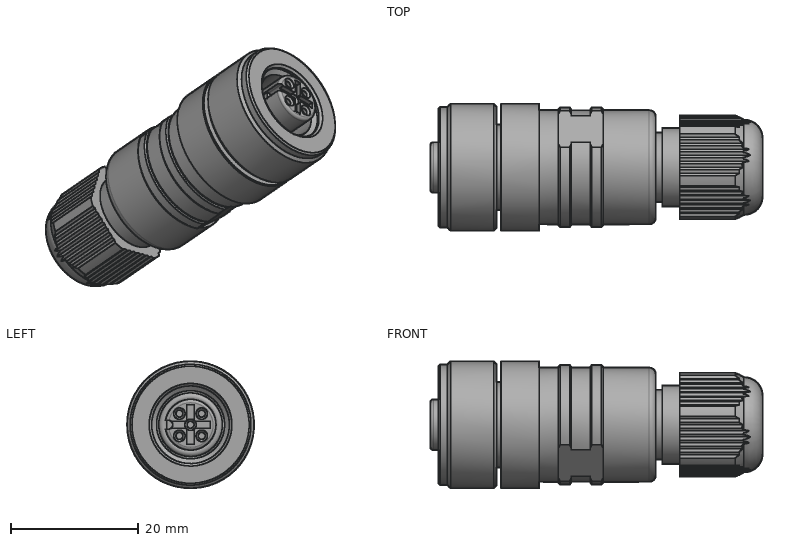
import cadquery as cq
import math


INSERT_R = 4.0
INSERT_EDGE_R = 0.5
RECESS_FLOOR_X = 8.5

COLLAR_X = 1.3
COLLAR_LIP_R = 9.5
COLLAR_LIP_CHAMFER = 0.3
COLLAR_STEP_X = 2.7
COLLAR_R = 10.0
COLLAR_FRONT_CHAMFER = COLLAR_R - COLLAR_LIP_R
COLLAR_END_X = 10.45
COLLAR_REAR_CHAMFER = 0.5

BORE_MOUTH_R = 6.5
BORE_R = 12.2 / 2
BORE_CHAMFER = BORE_MOUTH_R - BORE_R
BORE_STRAIGHT = 0.4
BORE_CONE_LENGTH = 0.6
BORE_THROAT_R = 5.35

SEAL_SECTION_R = 0.65
SEAL_CENTRE_R = 4.35
SEAL_X = 8.0

GROOVE_R = 13.5 / 2
GRIP_X = 11.05
GRIP_R = 10.0
GRIP_CHAMFER = 0.15
GRIP_END_X = 17.1

BODY_R = 9.0
BODY_END_X = 35.45
BODY_END_FILLET = 1.1
BAND_R = 9.4
BAND_WIDTH = 2.0
BAND_CHAMFER = 0.25
BAND_STARTS = (20.15, 25.15)
FLAT_DISTANCE = 8.5
FLAT_TILT = 45.0

NECK_R = 5.5
GLAND_X = 36.45
GLAND_R = 12.4 / 2

NUT_X = 39.2
NUT_END_X = 52.25
NUT_CORNER_R = 8.28
NUT_FLAT_DISTANCE = 7.55
NUT_CORNER_TILT = 15.0
NUT_CLEARANCE = 1.0
NUT_CONE_X = 47.9
NUT_DOME_R = 7.5
NUT_DOME_FILLET = 3.0
SIDES = 6
TEETH_PER_FLAT = 7
TOOTH_DEPTH = 0.22

CONTACT_OFFSET = 1.75
CONTACT_R = 1.1 / 2
CONTACT_DEPTH = 1.0
FUNNEL_R = 0.9
FUNNEL_DEPTH = 0.35
CROSS_WIDTH = 1.12
CROSS_REACH = 3.1
CROSS_DEPTH = 0.8
KEY_WIDTH = 1.4
KEY_INNER_Y = 2.8
KEY_OUTER_Y = 3.72
KEY_DEPTH = 3.0


def cylinder(start, end, radius):
    """Cylinder on the part axis between two X positions."""
    return cq.Workplane("YZ", origin=(start, 0, 0)).circle(radius).extrude(end - start)


def revolved(profile):
    """Turn a closed profile of (X, radius) around the part axis."""
    return profile.close().revolve(360, (0, 0, 0), (1, 0, 0))


def make_insert():
    """Insert with its keyway notch, which runs back into the seal ring."""
    insert = cylinder(0, GRIP_X, INSERT_R).faces("<X").edges().fillet(INSERT_EDGE_R)
    notch_height = INSERT_R - KEY_OUTER_Y
    notch = cq.Workplane("XY").box(SEAL_X, notch_height, KEY_WIDTH, centered=(False, False, True))
    insert = insert.cut(notch.translate((0, KEY_OUTER_Y, 0)))
    seal = (
        cq.Workplane("XY")
        .center(SEAL_X, SEAL_CENTRE_R)
        .circle(SEAL_SECTION_R)
        .revolve(360, (-SEAL_X, -SEAL_CENTRE_R, 0), (1 - SEAL_X, -SEAL_CENTRE_R, 0))
    )
    return insert.union(seal)


def make_collar():
    lip = cylinder(COLLAR_X, COLLAR_STEP_X, COLLAR_LIP_R)
    lip = lip.faces("<X").edges().chamfer(COLLAR_LIP_CHAMFER)
    sleeve = cylinder(COLLAR_STEP_X, COLLAR_END_X, COLLAR_R)
    sleeve = sleeve.faces("<X").edges().chamfer(COLLAR_FRONT_CHAMFER)
    sleeve = sleeve.faces(">X").edges().chamfer(COLLAR_REAR_CHAMFER)
    straight_x = COLLAR_X + BORE_CHAMFER
    cone_x = straight_x + BORE_STRAIGHT
    throat_x = cone_x + BORE_CONE_LENGTH
    bore = revolved(
        cq.Workplane("XY")
        .moveTo(COLLAR_X, 0)
        .lineTo(COLLAR_X, BORE_MOUTH_R)
        .lineTo(straight_x, BORE_R)
        .lineTo(cone_x, BORE_R)
        .lineTo(throat_x, BORE_THROAT_R)
        .lineTo(RECESS_FLOOR_X, BORE_THROAT_R)
        .lineTo(RECESS_FLOOR_X, 0)
    )
    return lip.union(sleeve).cut(bore)


def make_grip():
    groove = cylinder(COLLAR_END_X, GRIP_X, GROOVE_R)
    grip = cylinder(GRIP_X, GRIP_END_X, GRIP_R).faces("<X").edges().chamfer(GRIP_CHAMFER)
    return groove.union(grip)


def make_body():
    body = cylinder(GRIP_END_X, BODY_END_X, BODY_R).faces(">X").edges().fillet(BODY_END_FILLET)
    for start in BAND_STARTS:
        band = cylinder(start, start + BAND_WIDTH, BAND_R).edges().chamfer(BAND_CHAMFER)
        body = body.union(band)
    return body.cut(flat_cutters())


def flat_cutters():
    """Two blocks that leave opposite flats across the banded length."""
    start = BAND_STARTS[0]
    length = BAND_STARTS[-1] + BAND_WIDTH - start
    cutters = cq.Workplane("XY")
    for side in (0, 180):
        block = cq.Workplane("XY").box(length, 2 * BAND_R, BAND_R, centered=(False, True, False))
        block = block.translate((start, 0, FLAT_DISTANCE))
        cutters = cutters.add(block.rotate((0, 0, 0), (1, 0, 0), side - FLAT_TILT))
    return cutters.combine()


def make_gland():
    neck = cylinder(BODY_END_X, GLAND_X, NECK_R)
    return neck.union(cylinder(GLAND_X, NUT_X, GLAND_R))


def toothed_prism():
    """Prism with V-grooved flats and corners rounded to the nut radius."""
    half_flat = math.sqrt(NUT_CORNER_R**2 - NUT_FLAT_DISTANCE**2)
    pitch = 2 * half_flat / TEETH_PER_FLAT

    def at(side, distance, along):
        """Point given by its distance from the axis and its place along one flat."""
        angle = math.radians(180 - NUT_CORNER_TILT - 180 / SIDES - side * 360 / SIDES)
        y = distance * math.cos(angle) - along * math.sin(angle)
        z = distance * math.sin(angle) + along * math.cos(angle)
        return y, z

    def corner_middle(side):
        offset = math.radians(180 / SIDES)
        return at(side, NUT_CORNER_R * math.cos(offset), -NUT_CORNER_R * math.sin(offset))

    outline = cq.Workplane("YZ", origin=(NUT_X, 0, 0)).moveTo(*at(0, NUT_FLAT_DISTANCE, half_flat))
    for side in range(SIDES):
        for tooth in range(TEETH_PER_FLAT):
            crest = half_flat - tooth * pitch
            outline = outline.lineTo(*at(side, NUT_FLAT_DISTANCE - TOOTH_DEPTH, crest - pitch / 2))
            outline = outline.lineTo(*at(side, NUT_FLAT_DISTANCE, crest - pitch))
        next_flat = at(side + 1, NUT_FLAT_DISTANCE, half_flat)
        outline = outline.threePointArc(corner_middle(side), next_flat)
    return outline.close().extrude(NUT_END_X - NUT_X)


def make_nut():
    dome_centre_x = NUT_END_X - NUT_DOME_FILLET
    dome_centre_r = NUT_DOME_R - NUT_DOME_FILLET
    clear_r = NUT_CORNER_R + NUT_CLEARANCE
    reach = NUT_DOME_FILLET * math.sqrt(0.5)
    envelope = revolved(
        cq.Workplane("XY")
        .moveTo(NUT_X, 0)
        .lineTo(NUT_X, clear_r)
        .lineTo(NUT_CONE_X, clear_r)
        .lineTo(NUT_CONE_X, NUT_CORNER_R)
        .lineTo(dome_centre_x, NUT_DOME_R)
        .threePointArc((dome_centre_x + reach, dome_centre_r + reach), (NUT_END_X, dome_centre_r))
        .lineTo(NUT_END_X, 0)
    )
    return toothed_prism().intersect(envelope)


def contact_hole(x, y, z):
    """Funnelled contact hole that opens at depth x."""
    hole = revolved(
        cq.Workplane("XY")
        .moveTo(0, 0)
        .lineTo(0, FUNNEL_R)
        .lineTo(FUNNEL_DEPTH, CONTACT_R)
        .lineTo(CONTACT_DEPTH, CONTACT_R)
        .lineTo(CONTACT_DEPTH, 0)
    )
    return hole.translate((x, y, z))


def cut_insert_face(part):
    """Cross-shaped recess, five contact holes and the round-ended keyway."""
    face = cq.Workplane("YZ")
    part = part.cut(face.rect(2 * CROSS_REACH, CROSS_WIDTH).extrude(CROSS_DEPTH))
    part = part.cut(face.rect(CROSS_WIDTH, 2 * CROSS_REACH).extrude(CROSS_DEPTH))
    part = part.cut(cylinder(0, CROSS_DEPTH, FUNNEL_R))
    part = part.cut(contact_hole(CROSS_DEPTH, 0, 0))
    for y in (-CONTACT_OFFSET, CONTACT_OFFSET):
        for z in (-CONTACT_OFFSET, CONTACT_OFFSET):
            part = part.cut(contact_hole(0, y, z))
    half_key = KEY_WIDTH / 2
    key_arc_y = KEY_INNER_Y + half_key
    key = (
        face.moveTo(KEY_OUTER_Y, -half_key)
        .lineTo(key_arc_y, -half_key)
        .threePointArc((KEY_INNER_Y, 0), (key_arc_y, half_key))
        .lineTo(KEY_OUTER_Y, half_key)
        .close()
        .extrude(KEY_DEPTH)
    )
    return part.cut(key)


connector = make_collar().union(make_insert()).union(make_grip())
connector = connector.union(make_body()).union(make_gland()).union(make_nut())
result = cut_insert_face(connector)